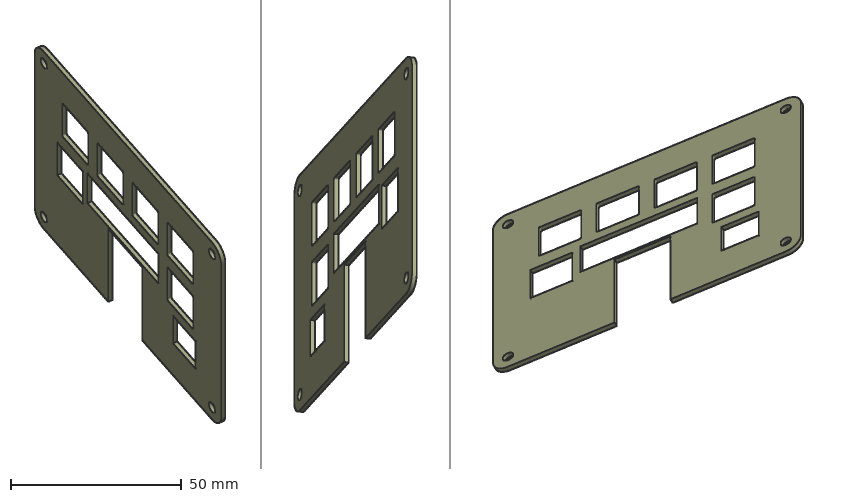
import cadquery as cq

plate_width = 101.49
plate_height = 75.12
plate_thickness = 1.5
corner_radius = 5.0

mount_hole_diameter = 3.4
mount_spacing_x = plate_width - 2 * corner_radius
mount_spacing_z = plate_height - 2 * corner_radius

key_size = 14.0
key_corner_radius = 0.5
key_pitch = 19.05
keys_per_row = 4
first_key_x = -28.65
upper_row_z = 17.6
lower_row_z = upper_row_z - key_pitch
last_key_x = first_key_x + (keys_per_row - 1) * key_pitch

side_window_size = 13.8
side_window_x = -31.5

display_width = 38.5
display_height = 12.5
display_x = -2.7
display_z = 0.6

small_window_width = 12.2
small_window_height = 11.6
small_window_x = 30.7
small_window_z = -18.2

notch_width = 18.4
notch_x = -1.45
notch_top_z = -6.6


def box_at(width, height, x, z):
    """Block as thick as the plate, centred at (x, z)."""
    return cq.Workplane("XY").box(width, plate_thickness, height).translate((x, 0, z))


def make_plate():
    plate = box_at(plate_width, plate_height, 0, 0)
    return plate.edges("|Y").fillet(corner_radius)


def cut_mount_holes(body):
    return (
        body.faces("<Y")
        .workplane(origin=(0, 0, 0))
        .rect(mount_spacing_x, mount_spacing_z, forConstruction=True)
        .vertices()
        .hole(mount_hole_diameter)
    )


def cut_keys(body):
    upper_keys = [(first_key_x + i * key_pitch, upper_row_z) for i in range(keys_per_row)]
    for x, z in upper_keys + [(last_key_x, lower_row_z)]:
        key = box_at(key_size, key_size, x, z).edges("|Y").fillet(key_corner_radius)
        body = body.cut(key)
    return body


def cut_windows(body):
    body = body.cut(box_at(side_window_size, side_window_size, side_window_x, lower_row_z))
    body = body.cut(box_at(display_width, display_height, display_x, display_z))
    return body.cut(box_at(small_window_width, small_window_height, small_window_x, small_window_z))


def cut_notch(body):
    bottom_z = -plate_height / 2
    notch_depth = notch_top_z - bottom_z
    return body.cut(box_at(notch_width, notch_depth, notch_x, bottom_z + notch_depth / 2))


result = cut_notch(cut_windows(cut_keys(cut_mount_holes(make_plate()))))